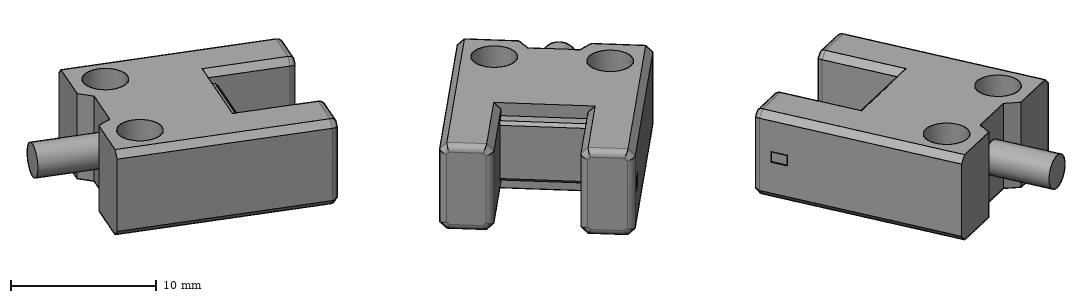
import cadquery as cq

total_length = 20.0
width = 13.5
height = 6.6
cable_length = 4.0
cable_diameter = 2.5
edge_size = 0.5

slot_width = 6.0
slot_depth = 6.68
sill_length = 1.0
sill_inset = 1.0
sill_chamfer = 0.25

hole_diameter = 3.2
hole_spacing = 8.0
hole_setback = 2.5

notch_mouth_width = 5.0
notch_floor_width = 3.6
notch_depth = 1.0

window_length = 1.25
window_height = 0.8
window_depth = 0.1
window_setback = 1.38

body_length = total_length - cable_length
prong_width = (width - slot_width) / 2
prong_center_x = (slot_width + prong_width) / 2
slot_floor_y = body_length - slot_depth


def make_prong(center_x):
    """Full-length side bar with chamfered long edges and a rounded tip."""
    bar = cq.Workplane("XY").box(prong_width, body_length, height, centered=(True, False, True))
    bar = bar.edges("|Y").chamfer(edge_size)
    bar = bar.faces(">Y").edges().fillet(edge_size)
    return bar.translate((center_x, 0, 0))


def make_bridge():
    """Rear block joining both prongs, with the outer long edges chamfered."""
    bridge = cq.Workplane("XY").box(width, slot_floor_y, height, centered=(True, False, True))
    return bridge.edges("|Y").chamfer(edge_size)


def make_sill():
    """Step on the slot floor set in from top and bottom, chamfered along its front edges."""
    sill_height = height - 2 * sill_inset
    sill = cq.Workplane("XY").box(slot_width, sill_length, sill_height, centered=(True, False, True))
    sill = sill.faces(">Y").edges("|X").chamfer(sill_chamfer)
    return sill.translate((0, slot_floor_y, 0))


def make_cable():
    """Round cable stub leaving the floor of the rear notch."""
    start = cq.Workplane("XZ", origin=(0, notch_depth, 0))
    return start.circle(cable_diameter / 2).extrude(cable_length + notch_depth)


def make_notch():
    """Tapered rear notch through the full height."""
    outline = [
        (-notch_mouth_width / 2, 0),
        (notch_mouth_width / 2, 0),
        (notch_floor_width / 2, notch_depth),
        (-notch_floor_width / 2, notch_depth),
    ]
    return cq.Workplane("XY").polyline(outline).close().extrude(height / 2, both=True)


def make_mounting_holes():
    """Two through holes beside the notch."""
    centers = [(side * hole_spacing / 2, hole_setback) for side in (-1, 1)]
    return cq.Workplane("XY").pushPoints(centers).circle(hole_diameter / 2).extrude(height / 2, both=True)


def make_window():
    """Shallow rectangular recess in the -X side near the prong tip."""
    window = cq.Workplane("XY").box(window_depth, window_length, window_height, centered=(False, True, True))
    center_y = body_length - window_setback - window_length / 2
    return window.translate((-width / 2, center_y, 0))


body = make_bridge()
for side in (-1, 1):
    body = body.union(make_prong(side * prong_center_x))
body = body.union(make_sill())
body = body.cut(make_notch()).cut(make_mounting_holes()).cut(make_window())
result = body.union(make_cable())